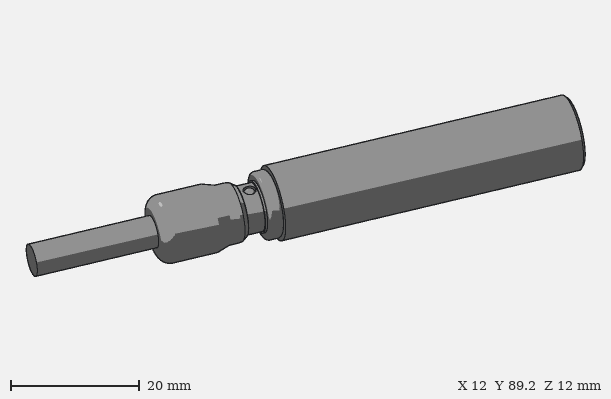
import cadquery as cq

total_length = 89.2
body_radius = 6.02
body_start = 39.7
body_end_chamfer = 0.45

cable_radius = 2.6
cable_length = 20.0

boot_diameter = 11.0
boot_radius = boot_diameter / 2
boot_rounding = 2.0
boot_taper_start = 29.2
boot_taper_end = 31.3

shoulder_radius = 4.8
shoulder_straight_end = 32.9
shoulder_rim_radius = 4.7
shoulder_rim_end = 33.45
shoulder_top_radius = 4.2
shoulder_end = 34.25

neck_radius = 3.9
neck_end = 37.0
neck_ring_radius = 4.2

collar_radius = boot_radius
collar_start = 37.4
collar_rounding = 0.5

lamp_position = 35.9
lamp_radius = 1.0
lamp_height = 0.1
lamp_recess_depth = 1.0


def turned(profile):
    """Revolve a half profile drawn in the XY plane about the Y axis."""
    return profile.close().revolve(360, (0, 0, 0), (0, 1, 0))


def cylinder(radius, start, end):
    """Solid cylinder along Y between two positions."""
    return turned(cq.Workplane("XY").moveTo(0, start).lineTo(radius, start).lineTo(radius, end).lineTo(0, end))


def make_boot_and_neck():
    return turned(
        cq.Workplane("XY")
        .moveTo(0, cable_length)
        .lineTo(boot_radius - boot_rounding, cable_length)
        .radiusArc((boot_radius, cable_length + boot_rounding), -boot_rounding)
        .lineTo(boot_radius, boot_taper_start)
        .lineTo(shoulder_radius, boot_taper_end)
        .lineTo(shoulder_radius, shoulder_straight_end)
        .lineTo(shoulder_rim_radius, shoulder_rim_end)
        .lineTo(shoulder_top_radius, shoulder_end)
        .lineTo(neck_radius, shoulder_end)
        .lineTo(neck_radius, neck_end)
        .lineTo(neck_ring_radius, neck_end)
        .lineTo(neck_ring_radius, collar_start)
        .lineTo(0, collar_start)
    )


def make_collar():
    return cylinder(collar_radius, collar_start, body_start).edges().fillet(collar_rounding)


def make_body():
    return cylinder(body_radius, body_start, total_length).edges(">Y").chamfer(body_end_chamfer)


def make_lamp():
    """Domed lamp whose tip stands slightly above the neck."""
    dome_center = neck_radius + lamp_height - lamp_radius
    return cq.Workplane("XY").sphere(lamp_radius).translate((0, lamp_position, dome_center))


def make_lamp_recess():
    """Round hole sunk into the neck around the lamp."""
    return (
        cq.Workplane("XY", origin=(0, lamp_position, neck_radius - lamp_recess_depth))
        .circle(lamp_radius)
        .extrude(2 * lamp_recess_depth)
    )


result = (
    cylinder(cable_radius, 0, cable_length)
    .union(make_boot_and_neck().cut(make_lamp_recess()))
    .union(make_collar())
    .union(make_body())
    .union(make_lamp())
)